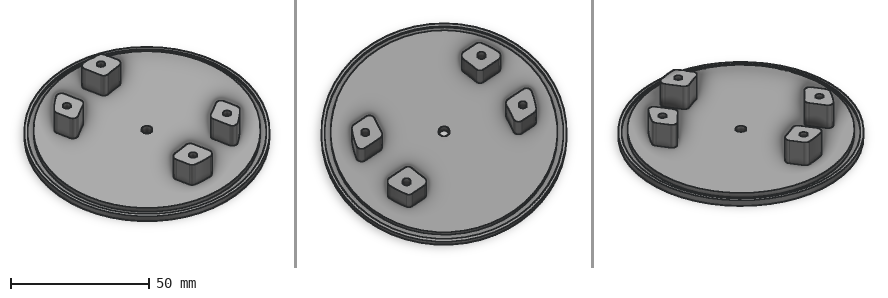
import cadquery as cq
import math

plate_diameter = 88.7
rim_height = 2.5
disc_height = 3.5
disc_diameter = 82.0
groove_diameter = 86.3
groove_depth = 1.0
center_hole_diameter = 4.0

total_height = 13.5
post_hole_x = 26.2
post_hole_y = 12.5
post_hole_diameter = 3.0
post_width = 10.0
post_outer_radius = 33.5
post_inner_radius = 57.65
post_inner_mid_x = 20.7
post_corner_radius = 2.0


def make_plate():
    """Disc with a raised middle and a ring groove inside the rim."""
    rim = cq.Workplane("XY").circle(plate_diameter / 2).extrude(rim_height)
    groove = (
        cq.Workplane("XY")
        .workplane(offset=rim_height - groove_depth)
        .circle(groove_diameter / 2)
        .extrude(groove_depth)
    )
    disc = cq.Workplane("XY").circle(disc_diameter / 2).extrude(disc_height)
    return rim.cut(groove).union(disc)


def make_post():
    """Post in the +X +Y quadrant, flat in Y and curved on its inner and outer sides."""
    low_y = post_hole_y - post_width / 2
    high_y = post_hole_y + post_width / 2
    inner_center_x = post_inner_mid_x - math.sqrt(post_inner_radius**2 - post_hole_y**2)

    def outer_point(y):
        return (math.sqrt(post_outer_radius**2 - y**2), y)

    def inner_point(y):
        return (inner_center_x + math.sqrt(post_inner_radius**2 - y**2), y)

    return (
        cq.Workplane("XY")
        .moveTo(*inner_point(low_y))
        .lineTo(*outer_point(low_y))
        .threePointArc(outer_point(post_hole_y), outer_point(high_y))
        .lineTo(*inner_point(high_y))
        .threePointArc(inner_point(post_hole_y), inner_point(low_y))
        .close()
        .extrude(total_height)
        .edges("|Z")
        .fillet(post_corner_radius)
    )


result = make_plate()

right_post = make_post()
left_post = right_post.mirror("YZ")
for post in (right_post, left_post):
    result = result.union(post).union(post.mirror("XZ"))

post_holes = (
    cq.Workplane("XY")
    .rect(2 * post_hole_x, 2 * post_hole_y, forConstruction=True)
    .vertices()
    .circle(post_hole_diameter / 2)
    .extrude(total_height)
)
center_hole = cq.Workplane("XY").circle(center_hole_diameter / 2).extrude(disc_height)
result = result.cut(post_holes).cut(center_hole)